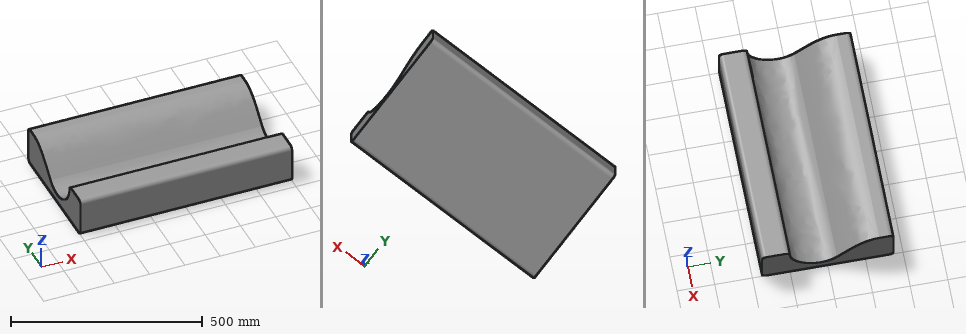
import cadquery as cq
import math

length = 600.0
width = 350.0
height = 110.0
edge_radius = 12.5

crest_start = 37.5
flank_end = 150.0
flank_end_depth = 69.5
flank_end_angle = 39.0
front_lip = 275.0

crest_pull = 50.0
flank_pull = 32.0
groove_back_pull = 69.0
groove_front_pull = 46.0


def profile_point(from_back, depth):
    """Point of the cross-section, given from the back face and the top face."""
    return (width / 2 - from_back, height - depth)


def rest_curves():
    """Control points of the crest curve and the groove curve, smooth where they join."""
    flank_angle = math.radians(flank_end_angle)
    run = math.cos(flank_angle)
    fall = math.sin(flank_angle)
    join = profile_point(flank_end, flank_end_depth)
    crest = [
        profile_point(crest_start, 0),
        profile_point(crest_start + crest_pull, 0),
        profile_point(flank_end - flank_pull * run, flank_end_depth - flank_pull * fall),
        join,
    ]
    groove = [
        join,
        profile_point(flank_end + groove_back_pull * run, flank_end_depth + groove_back_pull * fall),
        profile_point(front_lip, edge_radius + groove_front_pull),
        profile_point(front_lip, edge_radius),
    ]
    return crest, groove


def cross_section():
    """Closed YZ outline: rounded block with a crest at the back and a groove behind the front lip."""
    r = edge_radius
    crest, groove = rest_curves()
    return (
        cq.Workplane("YZ", origin=(-length / 2, 0, 0))
        .moveTo(*profile_point(r, 0))
        .lineTo(*crest[0])
        .bezier(crest)
        .bezier(groove)
        .radiusArc(profile_point(front_lip + r, 0), -r)
        .lineTo(*profile_point(width - r, 0))
        .radiusArc(profile_point(width, r), -r)
        .lineTo(*profile_point(width, height - r))
        .radiusArc(profile_point(width - r, height), -r)
        .lineTo(*profile_point(r, height))
        .radiusArc(profile_point(0, height - r), -r)
        .lineTo(*profile_point(0, r))
        .radiusArc(profile_point(r, 0), -r)
        .close()
    )


result = cross_section().extrude(length)